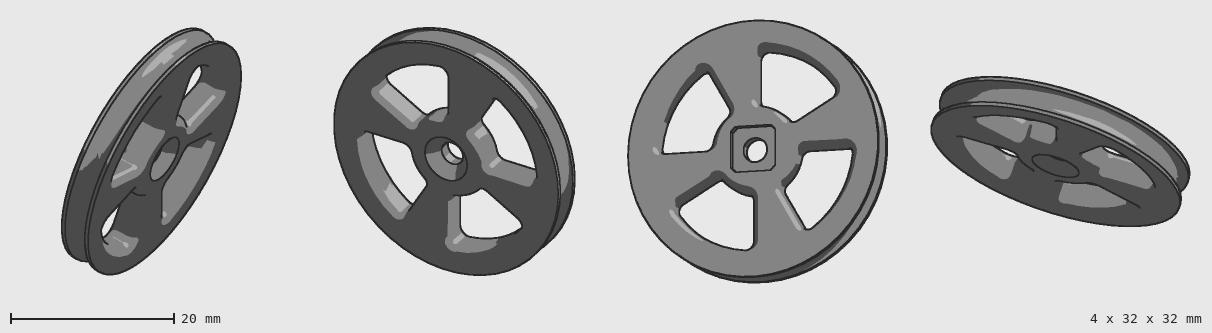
import cadquery as cq
import math

wheel_diameter = 32.0
wheel_width = 4.0
flange_width = 0.5
groove_diameter = 30.5
groove_flat_width = 0.5

bore_diameter = 3.0
pocket_side = 5.7
pocket_chamfer = 0.6
pocket_depth = 1.0
countersink_diameter = 6.0
countersink_angle = 90.0

window_count = 4
window_start_angle = 0.0
window_angle = 60.0
window_inner_radius = 5.5
window_outer_radius = 12.5
side_offset = 0.2
window_corner_radius = 1.0
window_edge_fillet = 1.2


def make_rim_disc():
    """Disc with a rope groove, revolved about X from x = 0 to the wheel width."""
    outer_radius = wheel_diameter / 2
    bottom_radius = groove_diameter / 2
    depth = outer_radius - bottom_radius
    middle = wheel_width / 2
    flat_start = middle - groove_flat_width / 2
    flat_end = middle + groove_flat_width / 2
    groove_end = wheel_width - flange_width

    flank_width = flat_start - flange_width
    flank_radius = (flank_width**2 + depth**2) / (2 * depth)
    half_sweep = math.asin(flank_width / flank_radius) / 2
    mid_offset = flank_radius * math.sin(half_sweep)
    mid_radius = bottom_radius + flank_radius * (1 - math.cos(half_sweep))

    profile = (
        cq.Workplane("XY")
        .lineTo(0, outer_radius)
        .lineTo(flange_width, outer_radius)
        .threePointArc((flat_start - mid_offset, mid_radius), (flat_start, bottom_radius))
        .lineTo(flat_end, bottom_radius)
        .threePointArc((flat_end + mid_offset, mid_radius), (groove_end, outer_radius))
        .lineTo(wheel_width, outer_radius)
        .lineTo(wheel_width, 0)
        .close()
    )
    return profile.revolve(360, (0, 0, 0), (1, 0, 0))


def make_window():
    """Cutter for one window: a ring sector between two sides offset from radial lines."""
    half_angle = math.radians(window_angle / 2)

    def corner(radius, side):
        angle = half_angle - math.asin(side_offset / radius)
        return (radius * math.cos(angle), side * radius * math.sin(angle))

    return (
        cq.Workplane("YZ")
        .moveTo(*corner(window_inner_radius, -1))
        .lineTo(*corner(window_outer_radius, -1))
        .threePointArc((window_outer_radius, 0), corner(window_outer_radius, 1))
        .lineTo(*corner(window_inner_radius, 1))
        .threePointArc((window_inner_radius, 0), corner(window_inner_radius, -1))
        .close()
        .extrude(wheel_width)
        .edges("|X")
        .fillet(window_corner_radius)
    )


def make_pocket():
    """Cutter for the square hub pocket with chamfered corners in the x = 0 face."""
    return (
        cq.Workplane("YZ")
        .rect(pocket_side, pocket_side)
        .extrude(pocket_depth)
        .edges("|X")
        .chamfer(pocket_chamfer)
    )


wheel = make_rim_disc()

window = make_window()
first_window_angle = window_start_angle + window_angle / 2
for index in range(window_count):
    angle = first_window_angle + index * 360 / window_count
    wheel = wheel.cut(window.rotate((0, 0, 0), (1, 0, 0), angle))

window_rims = [
    edge
    for face in wheel.faces("<X or >X").vals()
    for wire in face.innerWires()
    for edge in wire.Edges()
]
wheel = wheel.newObject(window_rims).fillet(window_edge_fillet)

wheel = wheel.cut(make_pocket())
result = wheel.faces(">X").workplane(origin=(0, 0, 0)).cskHole(
    bore_diameter, countersink_diameter, countersink_angle
)